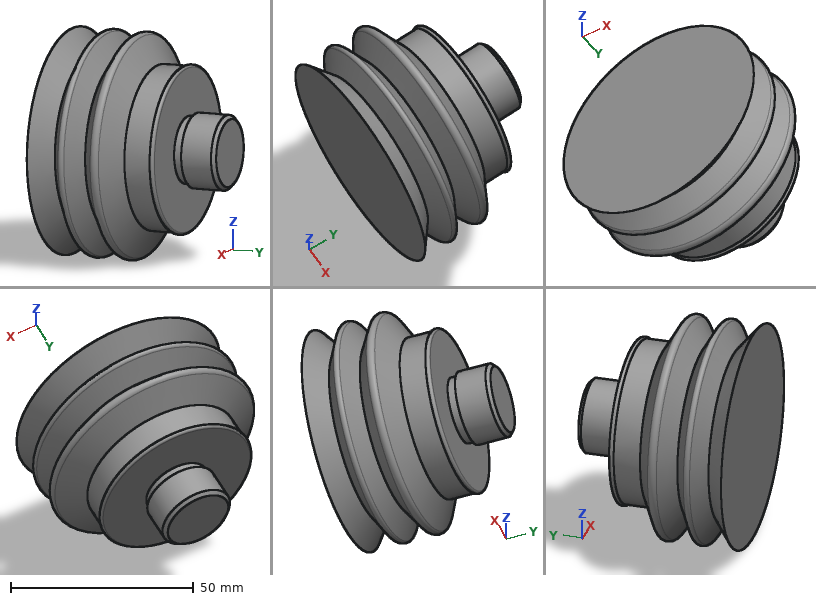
import cadquery as cq
import math

overall_length = 47.0
lip_radius = 31.5

lower_neck_radius = 24.8
lower_neck_y = 5.5
lower_fold_round = 1.0
lower_fold_y = 10.0
upper_neck_radius = 24.55
upper_neck_y = 14.4
upper_fold_round = 1.45
upper_fold_y = 19.9
fold_tangent_angle = math.radians(60)

body_radius = 46.0 / 2
body_start_y = 25.5
rim_radius = 46.9 / 2
rim_round = 0.7
body_end_y = 34.4
rim_center_y = body_end_y - rim_round
rim_center_radius = rim_radius - rim_round
rim_joint_y = rim_center_y - math.sqrt(rim_round**2 - (body_radius - rim_center_radius) ** 2)

stud_radius = 20.9 / 2
stud_length = 10.0
stud_chamfer = 1.1
fitting_neck_radius = stud_radius - stud_chamfer
stud_start_y = overall_length - stud_length


def add_fold(profile, center_y, round_radius):
    """Run the profile to a fold and around its rounded crest, which reaches the lip radius."""
    tangent_radius = lip_radius - round_radius * (1 - math.cos(fold_tangent_angle))
    half_height = round_radius * math.sin(fold_tangent_angle)
    return profile.lineTo(tangent_radius, center_y - half_height).threePointArc(
        (lip_radius, center_y), (tangent_radius, center_y + half_height)
    )


def make_cup():
    """Revolve the bellows and the cylindrical body with its rim."""
    profile = cq.Workplane("XY").lineTo(lip_radius, 0)
    profile = profile.lineTo(lower_neck_radius, lower_neck_y)
    profile = add_fold(profile, lower_fold_y, lower_fold_round)
    profile = profile.lineTo(upper_neck_radius, upper_neck_y)
    profile = add_fold(profile, upper_fold_y, upper_fold_round)
    profile = profile.lineTo(body_radius, body_start_y)
    profile = profile.lineTo(body_radius, rim_joint_y)
    profile = profile.threePointArc(
        (rim_radius, rim_center_y), (rim_center_radius, body_end_y)
    )
    profile = profile.lineTo(0, body_end_y).close()
    return profile.revolve(360, (0, 0, 0), (0, 1, 0))


def make_cylinder(radius, start_y, end_y):
    """Make a cylinder along Y between two positions."""
    base = cq.Workplane("XZ", origin=(0, start_y, 0))
    return base.circle(radius).extrude(start_y - end_y)


fitting_neck = make_cylinder(fitting_neck_radius, body_end_y, stud_start_y)
stud = make_cylinder(stud_radius, stud_start_y, overall_length).faces(">Y").chamfer(stud_chamfer)

result = make_cup().union(fitting_neck).union(stud)